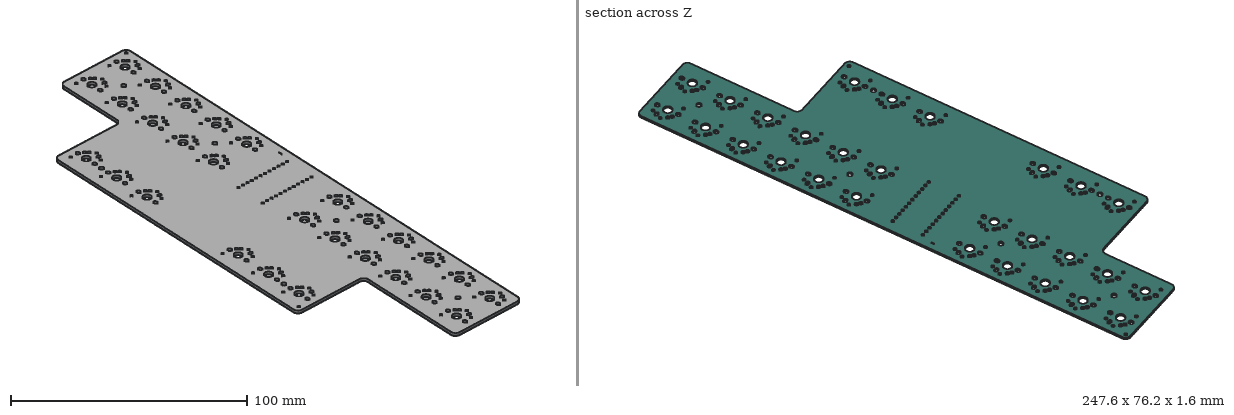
import cadquery as cq

LENGTH = 247.6
THICKNESS = 1.6
CORNER_RADIUS = 2.5
GRID_COLUMNS = 13
GRID_ROWS = 4
PITCH = LENGTH / GRID_COLUMNS
WIDTH = GRID_ROWS * PITCH

UPPER_ROWS = 2
LOWER_FIRST_COLUMN = 2
LOWER_LAST_COLUMN = 9

LEFT_KEYS = [0, 1, 2, 3, 4]
RIGHT_KEYS = [7, 8, 9, 10, 11, 12]
UPPER_KEYS = LEFT_KEYS + RIGHT_KEYS
BOTTOM_KEYS = [2, 3, 4, 7, 8, 9]
KEY_COLUMNS_BY_ROW = {0: UPPER_KEYS, 1: UPPER_KEYS, 3: BOTTOM_KEYS}

FINE_STEPS_PER_CELL = 15
FINE_STEP = PITCH / FINE_STEPS_PER_CELL

STEM_DIAMETER = 4.0
POST_SLOT_LENGTH = 2.1
POST_SLOT_WIDTH = 1.7
POST_OFFSET = 4 * FINE_STEP + (POST_SLOT_LENGTH - POST_SLOT_WIDTH) / 2
LEFT_PIN_DIAMETER = 1.45
LEFT_PINS = [(-3 * FINE_STEP, 2 * FINE_STEP), (-2 * FINE_STEP, 4.0)]
RIGHT_SLOT_LENGTH = 2.05
RIGHT_SLOT_WIDTH = 1.45
RIGHT_SLOT_CENTRE = (2 * FINE_STEP, 4 * FINE_STEP - (RIGHT_SLOT_LENGTH - RIGHT_SLOT_WIDTH) / 2)
CONTACT_DIAMETER = 1.2
CONTACTS = [(0, 6.0), (5.0, 3 * FINE_STEP)]
LOCATING_PIN_DIAMETER = 1.2
LOCATING_PIN = (-5.2, -4.2)

MOUNTING_DIAMETER = 2.2
MOUNTING_GRID_POINTS = [(1, 1), (4, 1), (8, 1), (12, 1), (3, 3.5), (9, 3.5)]

TOOLING_DIAMETER = 1.16
UPPER_TOOLING_INSET = 2.2
LOWER_TOOLING_SIDE_INSET = 2.5
LOWER_TOOLING_EDGE_INSET = 3.0

HEADER_PIN_COUNT = 12
HEADER_PIN_PITCH = 2 * FINE_STEP
HEADER_PIN_DIAMETER = 1.1
HEADER_COLUMN_GAP = 6 * HEADER_PIN_PITCH
HEADER_GRID_COLUMN = 6
HEADER_TOP_INSET = 5.5

HAIRLINE_LENGTH = 1.7
HAIRLINE_WIDTH = 0.2
HAIRLINE_X = -23.5
HAIRLINE_INSET = 3.5

LEFT = -LENGTH / 2
TOP = WIDTH / 2


def grid_point(columns, rows):
    """Point a number of grid steps right of and below the top left corner."""
    return LEFT + columns * PITCH, TOP - rows * PITCH


def offset_from(centres, dx, dy):
    return [(x + dx, y + dy) for x, y in centres]


def make_plate():
    outline = [
        grid_point(0, 0),
        grid_point(GRID_COLUMNS, 0),
        grid_point(GRID_COLUMNS, UPPER_ROWS),
        grid_point(LOWER_LAST_COLUMN + 1, UPPER_ROWS),
        grid_point(LOWER_LAST_COLUMN + 1, GRID_ROWS),
        grid_point(LOWER_FIRST_COLUMN, GRID_ROWS),
        grid_point(LOWER_FIRST_COLUMN, UPPER_ROWS),
        grid_point(0, UPPER_ROWS),
    ]
    plate = cq.Workplane("XY").polyline(outline).close().extrude(THICKNESS)
    return plate.edges("|Z").fillet(CORNER_RADIUS)


def round_cutters(points, diameter):
    return cq.Workplane("XY").pushPoints(points).circle(diameter / 2).extrude(THICKNESS)


def slot_cutters(points, length, width, angle=0):
    return cq.Workplane("XY").pushPoints(points).slot2D(length, width, angle).extrude(THICKNESS)


def switch_cutters():
    centres = [
        grid_point(column + 0.5, row + 0.5)
        for row, columns in KEY_COLUMNS_BY_ROW.items()
        for column in columns
    ]
    posts = offset_from(centres, -POST_OFFSET, 0) + offset_from(centres, POST_OFFSET, 0)
    left_pins = [point for pin in LEFT_PINS for point in offset_from(centres, *pin)]
    contacts = [point for contact in CONTACTS for point in offset_from(centres, *contact)]
    right_slots = offset_from(centres, *RIGHT_SLOT_CENTRE)
    return [
        round_cutters(centres, STEM_DIAMETER),
        slot_cutters(posts, POST_SLOT_LENGTH, POST_SLOT_WIDTH),
        round_cutters(left_pins, LEFT_PIN_DIAMETER),
        slot_cutters(right_slots, RIGHT_SLOT_LENGTH, RIGHT_SLOT_WIDTH, 90),
        round_cutters(contacts, CONTACT_DIAMETER),
        round_cutters(offset_from(centres, *LOCATING_PIN), LOCATING_PIN_DIAMETER),
    ]


def mounting_cutters():
    points = [grid_point(*steps) for steps in MOUNTING_GRID_POINTS]
    return round_cutters(points, MOUNTING_DIAMETER)


def tooling_cutters():
    left, top = grid_point(0, 0)
    right, bottom = grid_point(LOWER_LAST_COLUMN + 1, GRID_ROWS)
    points = [
        (left + UPPER_TOOLING_INSET, top - UPPER_TOOLING_INSET),
        (right - LOWER_TOOLING_SIDE_INSET, bottom + LOWER_TOOLING_EDGE_INSET),
    ]
    return round_cutters(points, TOOLING_DIAMETER)


def header_cutters():
    centre_x, top = grid_point(HEADER_GRID_COLUMN, 0)
    first_y = top - HEADER_TOP_INSET
    points = [
        (centre_x + side * HEADER_COLUMN_GAP / 2, first_y - index * HEADER_PIN_PITCH)
        for side in (-1, 1)
        for index in range(HEADER_PIN_COUNT)
    ]
    return round_cutters(points, HEADER_PIN_DIAMETER)


def hairline_cutter():
    return slot_cutters([(HAIRLINE_X, TOP - HAIRLINE_INSET)], HAIRLINE_LENGTH, HAIRLINE_WIDTH)


result = make_plate()
cutters = switch_cutters() + [
    mounting_cutters(),
    tooling_cutters(),
    header_cutters(),
    hairline_cutter(),
]
for cutter in cutters:
    result = result.cut(cutter)